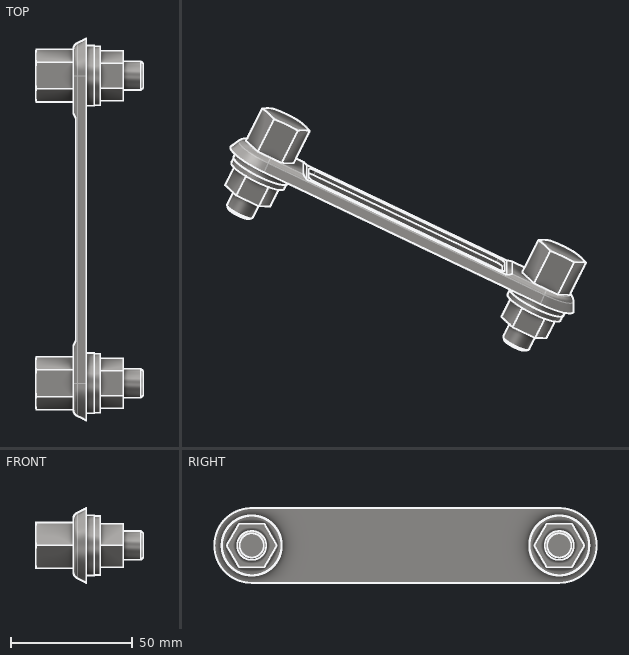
import cadquery as cq
import math

total_depth = 44.5
plate_length = 158.0
plate_width = 31.0
bolt_spacing = plate_length - plate_width

head_height = 15.5
plate_thickness = 5.5
seal_thickness = 3.25
washer_thickness = 2.5
nut_height = 9.5

plate_front_x = head_height
plate_back_x = plate_front_x + plate_thickness
seal_end_x = plate_back_x + seal_thickness
washer_end_x = seal_end_x + washer_thickness

rim_slope_angle = 27.0
rim_fillet_radius = 3.0

recess_depth = 1.0
recess_floor_x = plate_front_x + recess_depth
recess_floor_length = 92.0
recess_mouth_length = 96.0

window_length = 90.0
window_width = 20.5
window_depth = 2.0
window_corner_radius = 3.0

head_across_flats = 19.0
head_chamfer_angle = 10.0
seal_diameter = 25.0
washer_diameter = 24.5
nut_across_flats = 18.0
stud_diameter = 12.0
stud_chamfer = 1.0


def across_corners(across_flats):
    """Corner-to-corner diameter of a hexagon."""
    return across_flats / math.cos(math.radians(30))


def section_at(x):
    """Workplane facing +X, with local axes along Y and Z."""
    return cq.Workplane("YZ", origin=(x, 0, 0))


def make_plate():
    """Round-ended plate, widest at the back, with a rounded front edge."""
    back = section_at(plate_back_x).slot2D(plate_length, plate_width)
    body = back.extrude(-plate_thickness, taper=rim_slope_angle)
    return body.faces("<X").edges().fillet(rim_fillet_radius)


def make_recess():
    """Trapezoidal channel running across the full plate width."""
    half_mouth = recess_mouth_length / 2
    half_floor = recess_floor_length / 2
    outline = [
        (plate_front_x, -half_mouth),
        (recess_floor_x, -half_floor),
        (recess_floor_x, half_floor),
        (plate_front_x, half_mouth),
    ]
    return cq.Workplane("XY").polyline(outline).close().extrude(plate_width / 2, both=True)


def make_window():
    """Shallow rounded rectangle below the recess floor."""
    block = section_at(recess_floor_x).rect(window_length, window_width).extrude(window_depth)
    return block.edges("|X").fillet(window_corner_radius)


def make_bolt_head():
    """Hexagonal head whose outer corners are trimmed by a shallow cone."""
    corners = across_corners(head_across_flats)
    prism = section_at(0).polygon(6, corners).extrude(head_height)
    face_radius = head_across_flats / 2
    corner_radius = corners / 2
    trim_depth = (corner_radius - face_radius) * math.tan(math.radians(head_chamfer_angle))
    envelope = (
        cq.Workplane("XY")
        .polyline([
            (0, 0),
            (0, face_radius),
            (trim_depth, corner_radius),
            (head_height, corner_radius),
            (head_height, 0),
        ])
        .close()
        .revolve(360, (0, 0, 0), (1, 0, 0))
    )
    return prism.intersect(envelope)


def make_fastener():
    """Bolt head, seal, washer, nut and stud end on one axis along X."""
    stud = section_at(plate_front_x).circle(stud_diameter / 2).extrude(total_depth - plate_front_x)
    stud = stud.faces(">X").chamfer(stud_chamfer)
    seal = section_at(plate_back_x).circle(seal_diameter / 2).extrude(seal_thickness)
    washer = section_at(seal_end_x).circle(washer_diameter / 2).extrude(washer_thickness)
    nut = section_at(washer_end_x).polygon(6, across_corners(nut_across_flats)).extrude(nut_height)
    return make_bolt_head().union(stud).union(seal).union(washer).union(nut)


result = make_plate().cut(make_recess()).cut(make_window())
fastener = make_fastener()
for side in (-1, 1):
    result = result.union(fastener.translate((0, side * bolt_spacing / 2, 0)))